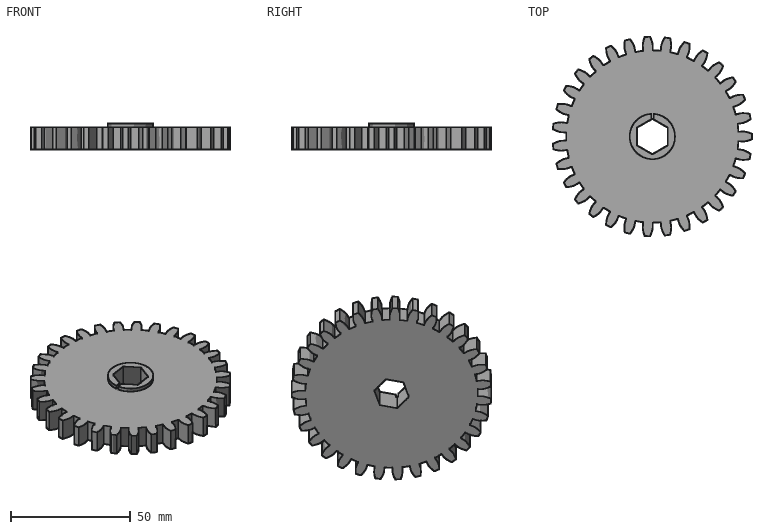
import cadquery as cq
import math

tooth_count = 31
pressure_angle = math.radians(14.5)
dedendum_ratio = 1.25
flank_steps = 6
tooth_pitch_angle = 2 * math.pi / tooth_count

overall_length = 83.8
gear_thickness = 9.5
hub_height = 1.6
hub_diameter = 19.0
total_height = gear_thickness + hub_height
bore_across_flats = 12.8
bore_across_corners = bore_across_flats / math.cos(math.pi / 6)
slot_width = 1.0


def involute(angle):
    return math.tan(angle) - angle


base_half_angle = tooth_pitch_angle / 4 + involute(pressure_angle)
tip_pressure_angle = math.acos(math.cos(pressure_angle) * tooth_count / (tooth_count + 2))
tip_half_angle = base_half_angle - involute(tip_pressure_angle)

nearest_tooth_angle = round(tooth_count / 4) * tooth_pitch_angle - math.pi / 2
corner_angle = abs(nearest_tooth_angle) - tip_half_angle
outer_radius = overall_length / 2 / math.cos(corner_angle)

module = 2 * outer_radius / (tooth_count + 2)
pitch_radius = module * tooth_count / 2
base_radius = pitch_radius * math.cos(pressure_angle)
root_radius = pitch_radius - dedendum_ratio * module


def polar(radius, angle):
    return (radius * math.cos(angle), radius * math.sin(angle))


def flank_half_angle(radius):
    """Half the angle the tooth spans at a radius on its involute flanks."""
    return base_half_angle - involute(math.acos(base_radius / radius))


def add_tooth(outline, center_angle):
    """Continue the outline from a tooth's root over its flanks and tip, then along the next gap."""
    step = (outer_radius - base_radius) / flank_steps
    radii = [base_radius + step * i for i in range(flank_steps + 1)]
    rising_flank = [polar(r, center_angle - flank_half_angle(r)) for r in radii]
    falling_flank = [polar(r, center_angle + flank_half_angle(r)) for r in reversed(radii)]
    gap_middle = center_angle + tooth_pitch_angle / 2
    next_root = center_angle + tooth_pitch_angle - base_half_angle
    return (
        outline.lineTo(*rising_flank[0])
        .spline(rising_flank[1:], includeCurrent=True)
        .threePointArc(polar(outer_radius, center_angle), falling_flank[0])
        .spline(falling_flank[1:], includeCurrent=True)
        .lineTo(*polar(root_radius, center_angle + base_half_angle))
        .threePointArc(polar(root_radius, gap_middle), polar(root_radius, next_root))
    )


def make_gear():
    """Toothed disc with one tooth centred on +X."""
    outline = cq.Workplane("XY").moveTo(*polar(root_radius, -base_half_angle))
    for i in range(tooth_count):
        outline = add_tooth(outline, i * tooth_pitch_angle)
    return outline.close().extrude(gear_thickness)


def make_hub():
    """Low round hub on top of the gear, slotted through its wall on the +Y side."""
    hub = (
        cq.Workplane("XY")
        .workplane(offset=gear_thickness)
        .circle(hub_diameter / 2)
        .extrude(hub_height)
    )
    slot = (
        cq.Workplane("XY")
        .box(slot_width, hub_diameter, hub_height, centered=(True, False, False))
        .translate((0, 0, gear_thickness))
    )
    return hub.cut(slot)


def make_bore():
    """Hexagonal through bore with corners on the Y axis."""
    return (
        cq.Workplane("XY")
        .transformed(rotate=(0, 0, 90))
        .polygon(6, bore_across_corners)
        .extrude(total_height)
    )


result = make_gear().union(make_hub()).cut(make_bore())